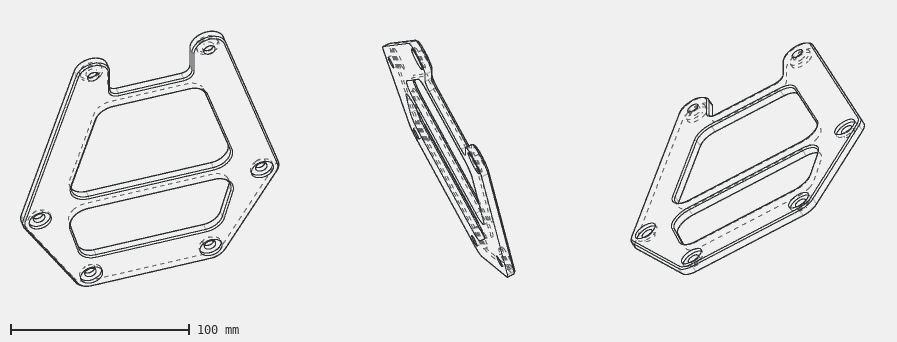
import cadquery as cq

height = 185.0
overall_width = 150.0
thickness = 5.0
corner_radius = 10.0
edge_chamfer = 1.0

tab_center = (34.0, height - corner_radius)
side_center = ((overall_width - 2 * corner_radius) / 2, 65.1)
base_center = (35.0, corner_radius)
hole_diameter = 6.7
counterbore_diameter = 13.0
counterbore_depth = 2.0

notch_floor = 155.4
notch_radius = 5.0

bar_width = 10.0
window_radius = 10.0
window_waist_half_width = 49.8
upper_window_top = notch_floor - bar_width
upper_window_bottom = 75.1
upper_window_top_half_width = 30.0
lower_window_top = upper_window_bottom - bar_width
lower_window_bottom = 25.0
lower_window_bottom_half_width = 40.0


def mirrored(half_points):
    """Close a list of (y, z) points on the +Y half with their mirror images."""
    return half_points + [(-y, z) for y, z in reversed(half_points)]


def make_blank():
    """Plate whose outline runs one corner radius outside the hole centers."""
    notch_root = (tab_center[0], notch_floor - corner_radius)
    centers = mirrored([notch_root, tab_center, side_center, base_center])
    blank = (
        cq.Workplane("YZ")
        .polyline(centers)
        .close()
        .offset2D(corner_radius, "arc")
        .extrude(thickness)
    )
    notch_half_width = tab_center[0] - corner_radius
    for y in (-notch_half_width, notch_half_width):
        corner = cq.selectors.NearestToPointSelector((thickness / 2, y, notch_floor))
        blank = blank.edges("|X").edges(corner).fillet(notch_radius)
    return blank


def make_window(top, top_half_width, bottom, bottom_half_width):
    """Trapezoidal through cutter with rounded corners."""
    outline = mirrored([(top_half_width, top), (bottom_half_width, bottom)])
    return (
        cq.Workplane("YZ")
        .polyline(outline)
        .close()
        .extrude(thickness)
        .edges("|X")
        .fillet(window_radius)
    )


def make_cylinders(centers, diameter, depth):
    """Round cutters of the given depth starting at the X = 0 face."""
    return cq.Workplane("YZ").pushPoints(centers).circle(diameter / 2).extrude(depth)


upper_window = make_window(
    upper_window_top, upper_window_top_half_width, upper_window_bottom, window_waist_half_width
)
lower_window = make_window(
    lower_window_top, window_waist_half_width, lower_window_bottom, lower_window_bottom_half_width
)
plate = make_blank().cut(upper_window).cut(lower_window)
plate = plate.faces(">X").edges().chamfer(edge_chamfer)

tab_holes = mirrored([tab_center])
body_holes = mirrored([side_center, base_center])
holes = make_cylinders(tab_holes + body_holes, hole_diameter, thickness)
tab_counterbores = make_cylinders(tab_holes, counterbore_diameter, counterbore_depth)
body_counterbores = make_cylinders(body_holes, counterbore_diameter, counterbore_depth).translate(
    (thickness - counterbore_depth, 0, 0)
)

result = plate.cut(holes).cut(tab_counterbores).cut(body_counterbores)